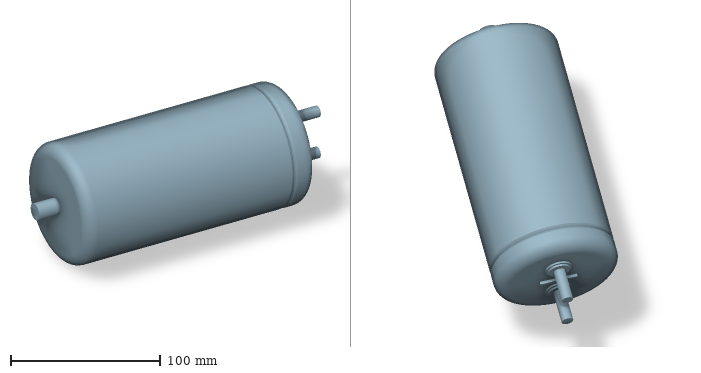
import cadquery as cq

total_length = 217.0
can_diameter = 86.0
can_radius = can_diameter / 2
can_edge_radius = 8.0

stud_diameter = 12.0
stud_length = 16.0

terminal_diameter = 8.0
terminal_length = 25.0
terminal_spacing = 32.0

collar_base_diameter = 18.0
collar_base_height = 1.3
collar_top_diameter = 15.0
collar_height = 2.5

groove_offset = 16.5
groove_width = 4.0
groove_depth = 1.2

bar_length = 25.5
bar_thickness = 2.0
bar_height = 2.0

can_length = total_length - stud_length - terminal_length
stud_face = -total_length / 2 + stud_length
terminal_face = stud_face + can_length


def rod(diameter, start, length, z=0.0):
    """Cylinder along +Y whose first end is at Y = start."""
    return cq.Workplane("XZ", origin=(0, start, z)).circle(diameter / 2).extrude(-length)


def can():
    """Plain can with both rims rounded."""
    body = rod(can_diameter, stud_face, can_length)
    return body.edges("<Y or >Y").fillet(can_edge_radius)


def groove():
    """Ring of triangular section, to be cut from the can wall."""
    middle = terminal_face - groove_offset
    corners = [
        (can_radius, middle - groove_width / 2),
        (can_radius - groove_depth, middle),
        (can_radius, middle + groove_width / 2),
    ]
    section = cq.Workplane("XY").polyline(corners).close()
    return section.revolve(360, (0, 0, 0), (0, 1, 0))


def terminal(z):
    """Terminal pin with its collar, standing on the terminal face at height z."""
    pin = rod(terminal_diameter, terminal_face, terminal_length, z)
    collar_base = rod(collar_base_diameter, terminal_face, collar_base_height, z)
    collar_top = rod(collar_top_diameter, terminal_face, collar_height, z)
    return pin.union(collar_base).union(collar_top)


def bar():
    """Rectangular bar along X on the middle of the terminal face."""
    base = cq.Workplane("XZ", origin=(0, terminal_face, 0))
    return base.rect(bar_length, bar_thickness).extrude(-bar_height)


result = can().cut(groove())
result = result.union(rod(stud_diameter, -total_length / 2, stud_length))
for side in (-1, 1):
    result = result.union(terminal(side * terminal_spacing / 2))
result = result.union(bar())